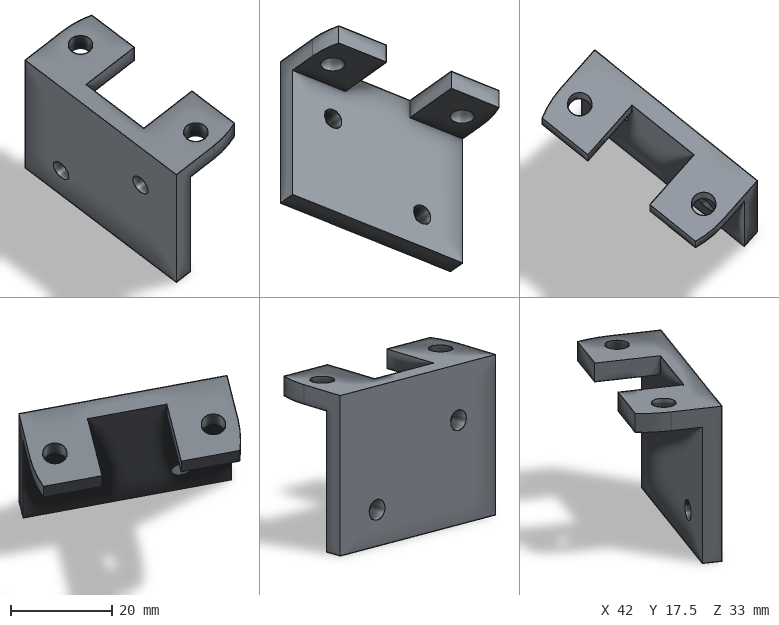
import cadquery as cq
import math

width = 42.0
depth = 17.5
height = 33.0
thickness = 4.0

end_radius = width / 2
hole_line_y = 10.5
slot_width = 16.0
slot_floor_y = thickness
flange_hole_spacing = 32.0
flange_hole_diameter = 4.8

plate_hole_spacing_x = 22.0
plate_hole_spacing_z = 14.0
lower_hole_z = 7.5
plate_hole_diameter = 4.2


def make_plate():
    """Upright mounting plate."""
    return cq.Workplane("XY").box(width, thickness, height, centered=(True, False, False))


def make_flange():
    """Top flange whose sides curve inward along one circle centred on the hole line."""
    side_x = width / 2

    def arc_x(y):
        return math.sqrt(end_radius**2 - (y - hole_line_y) ** 2)

    tip_x = arc_x(depth)
    middle_y = (hole_line_y + depth) / 2
    middle_x = arc_x(middle_y)
    return (
        cq.Workplane("XY")
        .workplane(offset=height - thickness)
        .moveTo(-side_x, 0)
        .lineTo(side_x, 0)
        .lineTo(side_x, hole_line_y)
        .threePointArc((middle_x, middle_y), (tip_x, depth))
        .lineTo(-tip_x, depth)
        .threePointArc((-middle_x, middle_y), (-side_x, hole_line_y))
        .close()
        .extrude(thickness)
    )


def make_slot():
    """Cutter that opens the middle of the flange toward +Y."""
    return (
        cq.Workplane("XY")
        .box(slot_width, depth - slot_floor_y, thickness, centered=(True, False, False))
        .translate((0, slot_floor_y, height - thickness))
    )


def make_flange_holes():
    """Cutters for the vertical holes, one in each arm of the flange."""
    half_spacing = flange_hole_spacing / 2
    return (
        cq.Workplane("XY")
        .workplane(offset=height - thickness)
        .pushPoints([(-half_spacing, hole_line_y), (half_spacing, hole_line_y)])
        .circle(flange_hole_diameter / 2)
        .extrude(thickness)
    )


def make_plate_holes():
    """Cutters for the diagonal pair of holes through the plate."""
    half_spacing = plate_hole_spacing_x / 2
    upper_hole_z = lower_hole_z + plate_hole_spacing_z
    return (
        cq.Workplane("XZ")
        .pushPoints([(-half_spacing, lower_hole_z), (half_spacing, upper_hole_z)])
        .circle(plate_hole_diameter / 2)
        .extrude(-thickness)
    )


result = make_plate().union(make_flange())
result = result.cut(make_slot())
result = result.cut(make_flange_holes())
result = result.cut(make_plate_holes())